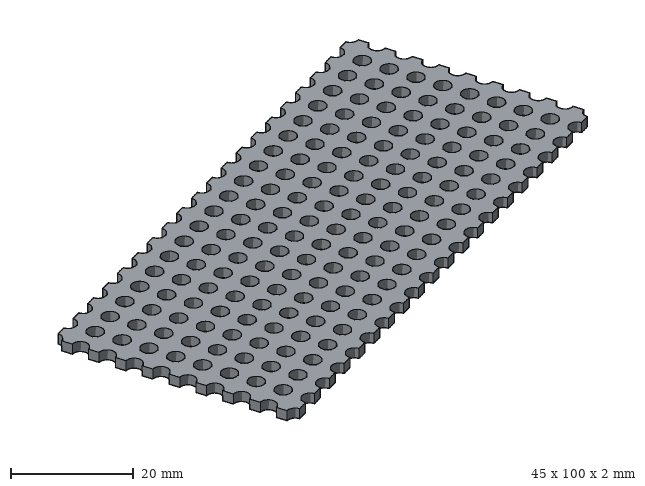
import cadquery as cq

hole_pitch = 5.0
columns = 9
rows = 20
thickness = 2.0
hole_diameter = 3.0

width = columns * hole_pitch
length = rows * hole_pitch


def make_plate():
    """Plain rectangular plate centred on the origin."""
    return cq.Workplane("XY").box(width, length, thickness)


def cut_hole_grid(plate):
    """Pierce a square grid of holes; the outermost ones are centred on the plate's edges and corners."""
    return (
        plate.faces(">Z")
        .workplane()
        .rarray(hole_pitch, hole_pitch, columns + 1, rows + 1)
        .circle(hole_diameter / 2)
        .cutThruAll()
    )


result = cut_hole_grid(make_plate())